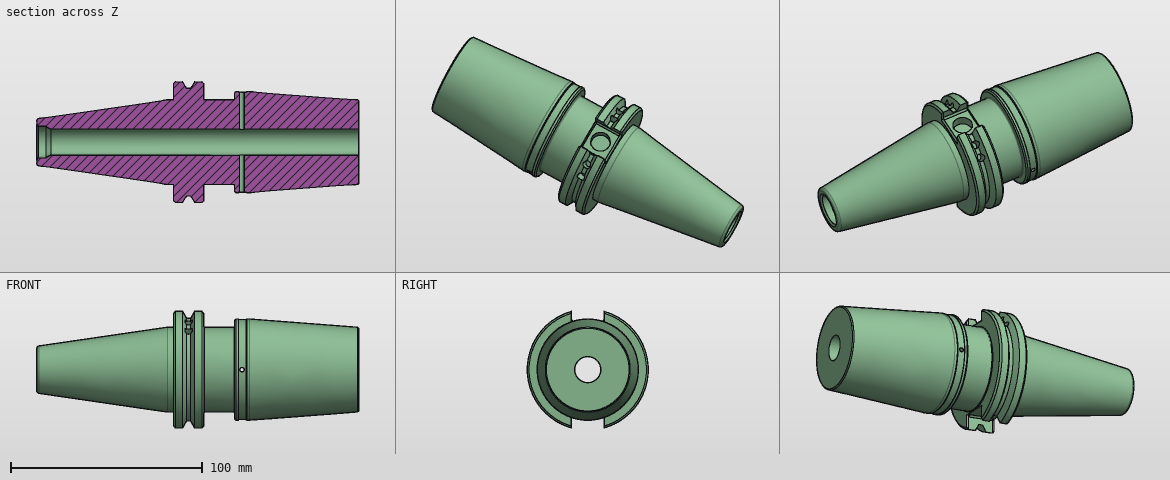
import cadquery as cq
import math


shank_length = 68.25
gauge_radius = 44.45 / 2
taper_ratio = 7 / 24
shank_end_radius = gauge_radius - shank_length * taper_ratio / 2
shank_end_fillet = 1.5

flange_start = 3.18
flange_end = 19.05
flange_radius = 63.32 / 2
flange_chamfer = 1.0
flange_middle = (flange_start + flange_end) / 2
groove_floor_radius = 28.2
groove_floor_width = 2.2
groove_flank_angle = 60
groove_half_mouth = (
    groove_floor_width / 2
    + (flange_radius - groove_floor_radius) / math.tan(math.radians(groove_flank_angle))
)
root_fillet = 0.4

projection = 100.0
neck_radius = gauge_radius
collar_start = 35.0
collar_radius = 53.0 / 2
collar_chamfer = 0.8
vent_groove_start = 37.2
vent_groove_end = 41.0
vent_groove_ramp = 0.5
vent_groove_depth = 0.3
nose_taper_start = 43.0
nose_end_radius = 44.4 / 2
nose_end_chamfer = 0.6

bore_radius = 13.5 / 2
counterbore_radius = 16.4 / 2
counterbore_depth = 5.0
counterbore_step = 0.3
counterbore_cone = 2.5
bore_mouth_radius = 18.6 / 2
bore_mouth_depth = 1.0

slot_width = 16.9
slot_corner_chamfer = 1.0
slot_end_bevel_length = 1.0
slot_wall_bevel = 0.4
top_slot_floor = 25.0
top_slot_floor_bevel = 1.0
bottom_slot_floor = 22.6
locating_hole_diameter = 10.2
locating_hole_depth = 5.5

balance_hole_diameter = 4.0
balance_hole_depth = 5.0
balance_hole_angles = (-45, -30, 30, 45)
vent_hole_x = 39.0
vent_hole_diameter = 2.2


def revolve_about_x(outline):
    """Turn a closed half outline in the XZ plane into a solid of revolution."""
    return outline.close().revolve(360, (0, 0, 0), (1, 0, 0))


def make_body():
    """Solid outer shape: taper shank, V flange, neck and tapered nose."""
    groove_radius = collar_radius - vent_groove_depth
    outline = (
        cq.Workplane("XZ")
        .moveTo(-shank_length, 0)
        .lineTo(-shank_length, shank_end_radius)
        .lineTo(0, gauge_radius)
        .lineTo(flange_start, gauge_radius)
        .lineTo(flange_start, flange_radius - flange_chamfer)
        .lineTo(flange_start + flange_chamfer, flange_radius)
        .lineTo(flange_middle - groove_half_mouth, flange_radius)
        .lineTo(flange_middle - groove_floor_width / 2, groove_floor_radius)
        .lineTo(flange_middle + groove_floor_width / 2, groove_floor_radius)
        .lineTo(flange_middle + groove_half_mouth, flange_radius)
        .lineTo(flange_end - flange_chamfer, flange_radius)
        .lineTo(flange_end, flange_radius - flange_chamfer)
        .lineTo(flange_end, neck_radius + root_fillet)
        .radiusArc((flange_end + root_fillet, neck_radius), -root_fillet)
        .lineTo(collar_start - root_fillet, neck_radius)
        .radiusArc((collar_start, neck_radius + root_fillet), -root_fillet)
        .lineTo(collar_start, collar_radius - collar_chamfer)
        .lineTo(collar_start + collar_chamfer, collar_radius)
        .lineTo(vent_groove_start, collar_radius)
        .lineTo(vent_groove_start, groove_radius)
        .lineTo(vent_groove_end, groove_radius)
        .lineTo(vent_groove_end + vent_groove_ramp, collar_radius)
        .lineTo(nose_taper_start, collar_radius)
        .lineTo(projection - nose_end_chamfer, nose_end_radius)
        .lineTo(projection, nose_end_radius - nose_end_chamfer)
        .lineTo(projection, 0)
    )
    return revolve_about_x(outline).faces("<X").edges().fillet(shank_end_fillet)


def make_bore():
    """Through bore with a stepped and coned counterbore at the shank end."""
    counterbore_end = -shank_length + counterbore_depth
    outline = (
        cq.Workplane("XZ")
        .moveTo(-shank_length, 0)
        .lineTo(-shank_length, bore_mouth_radius)
        .lineTo(-shank_length + bore_mouth_depth, counterbore_radius)
        .lineTo(counterbore_end, counterbore_radius)
        .lineTo(counterbore_end, counterbore_radius - counterbore_step)
        .lineTo(counterbore_end + counterbore_cone, bore_radius)
        .lineTo(projection, bore_radius)
        .lineTo(projection, 0)
    )
    return revolve_about_x(outline)


def slot_section(x, floor, width):
    """Rectangle across the slot at x, from the floor up to the flange radius."""
    height = flange_radius - floor
    return cq.Workplane("YZ", origin=(x, 0, floor + height / 2)).rect(width, height)


def make_slot(floor, floor_bevel):
    """Drive slot on the +Z side, with its walls and floor bevelled at both end faces."""
    slot = slot_section(flange_start, floor, slot_width).extrude(flange_end - flange_start)
    slot = slot.faces("<Z").edges("|X").chamfer(slot_corner_chamfer)
    for end, inward in ((flange_start, 1), (flange_end, -1)):
        mouth = slot_section(end, floor - floor_bevel, slot_width + 2 * slot_wall_bevel)
        inner_height = flange_radius - floor
        mouth_height = inner_height + floor_bevel
        bevel = (
            mouth.workplane(offset=inward * slot_end_bevel_length)
            .center(0, (mouth_height - inner_height) / 2)
            .rect(slot_width, inner_height)
            .loft(ruled=True)
        )
        slot = slot.union(bevel)
    return slot


def make_radial_hole(x, diameter, floor, depth, angle):
    """Flat-bottomed radial hole below a floor radius, turned about X from the +Z direction."""
    return (
        cq.Workplane("XY", origin=(x, 0, floor - depth))
        .circle(diameter / 2)
        .extrude(flange_radius - floor + depth)
        .rotate((0, 0, 0), (1, 0, 0), angle)
    )


def make_vent_hole():
    """Small hole passing through the collar along Y."""
    return (
        cq.Workplane("XZ")
        .center(vent_hole_x, 0)
        .circle(vent_hole_diameter / 2)
        .extrude(collar_radius, both=True)
    )


top_slot = make_slot(top_slot_floor, top_slot_floor_bevel)
bottom_slot = make_slot(bottom_slot_floor, 0).rotate((0, 0, 0), (1, 0, 0), 180)
locating_hole = make_radial_hole(
    flange_middle, locating_hole_diameter, top_slot_floor, locating_hole_depth, 0
)

holder = make_body().cut(make_bore()).cut(top_slot).cut(bottom_slot)
holder = holder.cut(locating_hole).cut(make_vent_hole())
for hole_angle in balance_hole_angles:
    balance_hole = make_radial_hole(
        flange_middle, balance_hole_diameter, groove_floor_radius, balance_hole_depth, hole_angle
    )
    holder = holder.cut(balance_hole)

result = holder